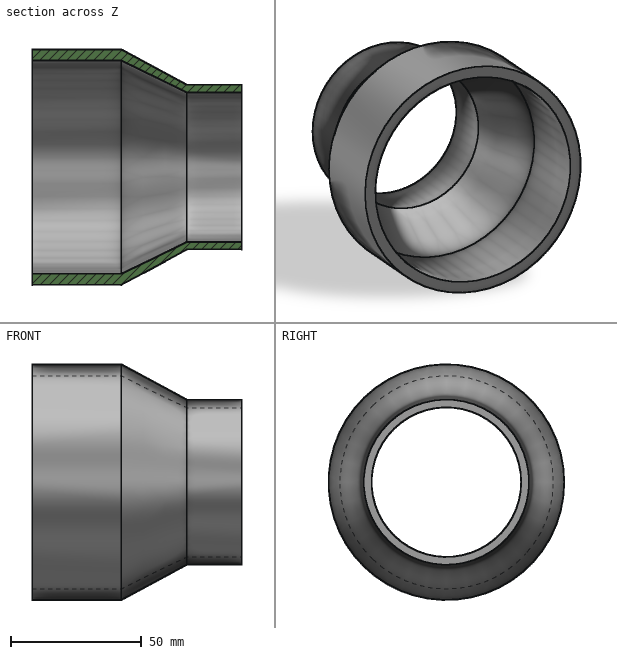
import cadquery as cq

large_outer_diameter = 90.0
large_inner_diameter = 81.4
small_outer_diameter = 63.0
small_inner_diameter = 57.0
total_length = 80.0
large_length = 34.0
small_length = 21.0
taper_end = total_length - small_length


def stepped_cone(large_diameter, small_diameter):
    """Solid of revolution: large cylinder, taper, then small cylinder."""
    large_radius = large_diameter / 2
    small_radius = small_diameter / 2
    profile = [
        (0, 0),
        (0, large_radius),
        (large_length, large_radius),
        (taper_end, small_radius),
        (total_length, small_radius),
        (total_length, 0),
    ]
    return cq.Workplane("XY").polyline(profile).close().revolve(360, (0, 0, 0), (1, 0, 0))


body = stepped_cone(large_outer_diameter, small_outer_diameter)
bore = stepped_cone(large_inner_diameter, small_inner_diameter)
result = body.cut(bore)